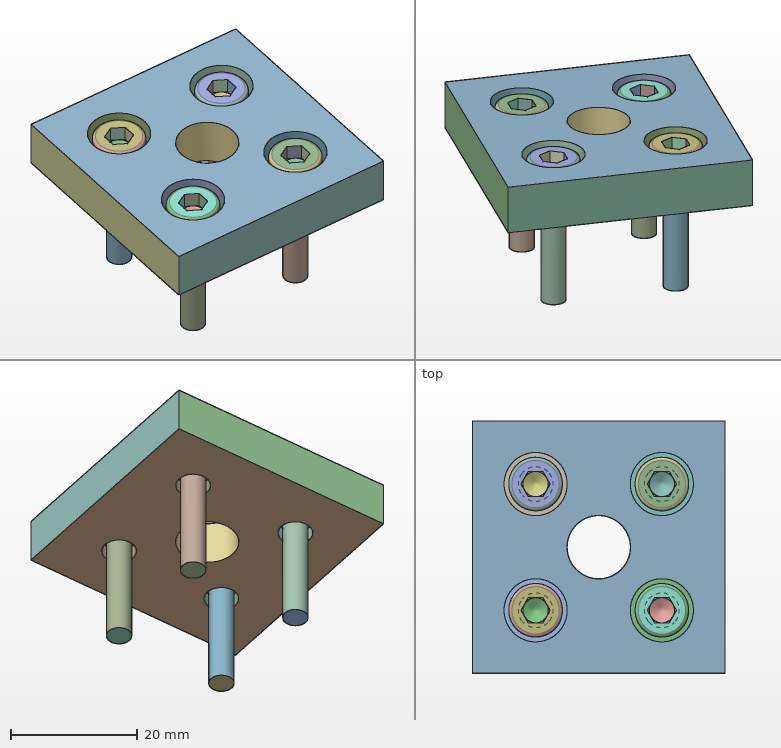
import cadquery as cq
import math

plate_size = 40.0
plate_thickness = 8.0
centre_hole_diameter = 10.0
counterbore_diameter = 10.0
clearance_diameter = 5.5
screw_pitch = 20.0

head_diameter = 8.5
head_height = 5.0
head_edge_radius = 0.5
head_recess = 0.5
shank_diameter = 4.02
shank_length = 20.0
hex_sides = 6
hex_across_flats = 4.0
hex_depth = 2.5
hex_drill_point_angle = 120.0

hex_across_corners = hex_across_flats / math.cos(math.pi / hex_sides)
head_top_z = plate_thickness - head_recess
head_seat_z = head_top_z - head_height
counterbore_depth = plate_thickness - head_seat_z

half_pitch = screw_pitch / 2
screw_positions = [(x, y) for x in (-half_pitch, half_pitch) for y in (-half_pitch, half_pitch)]


def make_plate():
    """Square plate with a centre hole and four counterbored screw holes."""
    blank = cq.Workplane("XY").box(plate_size, plate_size, plate_thickness, centered=(True, True, False))
    bored = blank.faces(">Z").workplane().hole(centre_hole_diameter)
    return (
        bored.faces(">Z")
        .workplane(origin=(0, 0, plate_thickness))
        .pushPoints(screw_positions)
        .cboreHole(clearance_diameter, counterbore_diameter, counterbore_depth)
    )


def make_hex_socket():
    """Hexagonal key recess, with corners along X, ending in a conical drill point."""
    socket_floor_z = head_top_z - hex_depth
    drill_radius = hex_across_flats / 2
    point_depth = drill_radius / math.tan(math.radians(hex_drill_point_angle / 2))
    hexagon = (
        cq.Workplane("XY", origin=(0, 0, socket_floor_z))
        .polygon(hex_sides, hex_across_corners)
        .extrude(hex_depth)
    )
    drill_point = cq.Workplane(
        cq.Solid.makeCone(drill_radius, 0, point_depth, cq.Vector(0, 0, socket_floor_z), cq.Vector(0, 0, -1))
    )
    return hexagon.union(drill_point)


def make_screw(x, y):
    """Cap screw on the vertical line through (x, y), its head seated in the counterbore."""
    head = (
        cq.Workplane("XY", origin=(0, 0, head_seat_z))
        .circle(head_diameter / 2)
        .extrude(head_height)
        .faces(">Z")
        .edges()
        .fillet(head_edge_radius)
    )
    shank = cq.Workplane("XY", origin=(0, 0, head_seat_z)).circle(shank_diameter / 2).extrude(-shank_length)
    return head.union(shank).cut(make_hex_socket()).translate((x, y, 0))


plate = make_plate()
screws = [make_screw(x, y) for x, y in screw_positions]

result = cq.Compound.makeCompound([plate.val(), *[screw.val() for screw in screws]])